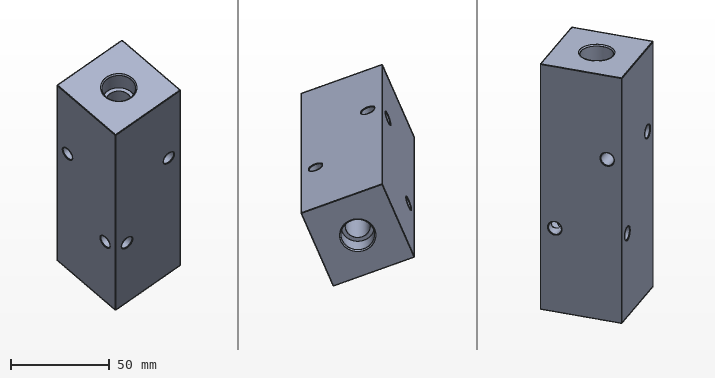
import cadquery as cq

LENGTH = 139.7
WIDTH = 44.4
EDGE_CHAMFER = 0.3

BORE_DIAMETER = 12.7
PORT_DIAMETER = 17.0
PORT_DEPTH = 10.5
PORT_MOUTH_DIAMETER = 18.5

CROSS_DIAMETER = 7.1
CROSS_MOUTH_DIAMETER = 7.8
CROSS_INSET = 8.0

cross_offset = WIDTH / 2 - CROSS_INSET
cross_height = WIDTH / 2


def chamfered_pin(span, diameter, mouth_diameter):
    """Cutter along Z, centred on the origin, for a through hole with a 45 degree chamfer at each end."""
    radius = diameter / 2
    mouth_radius = mouth_diameter / 2
    chamfer = mouth_radius - radius
    half_span = span / 2
    profile = [
        (0, -half_span),
        (mouth_radius, -half_span),
        (radius, -half_span + chamfer),
        (radius, half_span - chamfer),
        (mouth_radius, half_span),
        (0, half_span),
    ]
    return cq.Workplane("XZ").polyline(profile).close().revolve(360, (0, 0), (0, 1))


def make_block():
    """Square bar with every outer edge broken."""
    return cq.Workplane("XY").box(WIDTH, WIDTH, LENGTH).edges().chamfer(EDGE_CHAMFER)


def make_passage():
    """Cutter for the central bore with a larger, chamfered, flat-bottomed port at each end."""
    full_pin = chamfered_pin(LENGTH, PORT_DIAMETER, PORT_MOUTH_DIAMETER)
    land = cq.Workplane("XY").box(WIDTH, WIDTH, LENGTH - 2 * PORT_DEPTH)
    bore = cq.Workplane("XY").cylinder(LENGTH, BORE_DIAMETER / 2)
    return full_pin.cut(land).union(bore)


def drill_cross_holes(body):
    """Drill one hole along X and one along Y above mid-height, and the diagonal opposites below it."""
    pin = chamfered_pin(WIDTH, CROSS_DIAMETER, CROSS_MOUTH_DIAMETER)
    pin_along_x = pin.rotate((0, 0, 0), (0, 1, 0), 90)
    pin_along_y = pin.rotate((0, 0, 0), (1, 0, 0), 90)
    for side in (1, -1):
        offset = side * cross_offset
        height = side * cross_height
        body = body.cut(pin_along_x.translate((0, offset, height)))
        body = body.cut(pin_along_y.translate((-offset, 0, height)))
    return body


result = drill_cross_holes(make_block().cut(make_passage()))